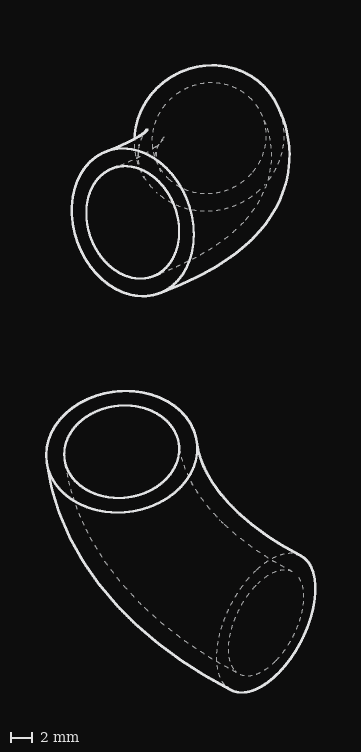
import cadquery as cq

outer_diameter = 13.8
bore_diameter = 10.5
bend_radius = 38.14
bend_angle = 45.0


def pipe_bend():
    """Sweep the pipe's ring section about a Z axis, from the -Y end face toward -X."""
    ring = (
        cq.Workplane("XZ")
        .circle(outer_diameter / 2)
        .circle(bore_diameter / 2)
    )
    bend_axis_start = (-bend_radius, 0)
    bend_axis_end = (-bend_radius, 1)
    return ring.revolve(bend_angle, bend_axis_start, bend_axis_end)


result = pipe_bend()